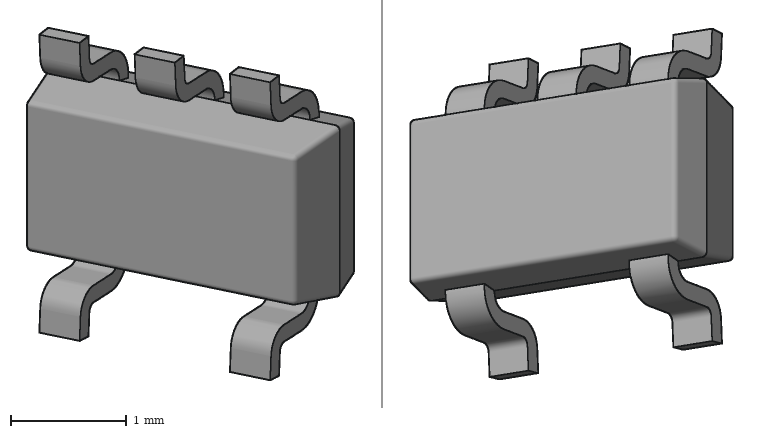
import cadquery as cq
import math


body_length = 2.9
body_height = 1.6
back_depth = 0.397
front_depth = 0.603
draft_angle = 10.0
edge_radius = 0.05

lead_width = 0.403
lead_thickness = 0.16
lead_pitch = 0.95
lead_span = 2.8
seat_y = -0.702
flat_top_z = 1.115
foot_inner_radius = 0.072
foot_tilt = 4.0

upper_columns = (-1, 0, 1)
lower_columns = (-1, 1)


def make_housing_half(depth, direction):
    """Drafted half from the parting plane to depth along Y, rounded except at the parting plane."""
    parting_plane = cq.Plane(origin=(0, 0, 0), xDir=(direction, 0, 0), normal=(0, direction, 0))
    half = (
        cq.Workplane(parting_plane)
        .rect(body_length, body_height)
        .extrude(depth, taper=draft_angle)
    )
    parting_face = "<Y" if direction > 0 else ">Y"
    parting_edges = half.faces(parting_face).edges().vals()
    rounded_edges = [
        edge for edge in half.edges().vals()
        if not any(edge.isSame(parting_edge) for parting_edge in parting_edges)
    ]
    return half.newObject(rounded_edges).fillet(edge_radius)


def make_housing():
    """Two drafted halves joined at the parting plane."""
    back_half = make_housing_half(back_depth, 1)
    front_half = make_housing_half(front_depth, -1)
    return back_half.union(front_half).solids()


def lead_outline():
    """Gull-wing section of an upper lead, its root lying on the drafted top of the housing."""
    tilt = math.radians(foot_tilt)
    toe_z = lead_span / 2
    parting_z = body_height / 2
    root_back_z = parting_z - lead_thickness * math.tan(math.radians(draft_angle))

    flat_bottom_z = flat_top_z - lead_thickness

    shoulder_radius = flat_top_z - parting_z
    flat_start_y = lead_thickness - shoulder_radius

    foot_outer_radius = foot_inner_radius + lead_thickness
    foot_center_z = flat_top_z + foot_inner_radius
    tilt_sine = math.sin(tilt)
    tilt_cosine = math.cos(tilt)
    foot_tangent_inner_z = foot_center_z - foot_inner_radius * tilt_sine
    foot_tangent_outer_z = foot_center_z - foot_outer_radius * tilt_sine

    toe_outer_z = toe_z - lead_thickness * tilt_sine
    toe_inner_y = seat_y + lead_thickness * tilt_cosine
    foot_tangent_inner_y = toe_inner_y + (toe_z - foot_tangent_inner_z) * math.tan(tilt)
    flat_end_y = foot_tangent_inner_y + foot_inner_radius * tilt_cosine
    foot_tangent_outer_y = flat_end_y - foot_outer_radius * tilt_cosine

    return (
        cq.Workplane("YZ")
        .moveTo(lead_thickness, root_back_z)
        .lineTo(lead_thickness, parting_z)
        .tangentArcPoint((flat_start_y, flat_top_z), relative=False)
        .lineTo(flat_end_y, flat_top_z)
        .tangentArcPoint((foot_tangent_inner_y, foot_tangent_inner_z), relative=False)
        .lineTo(toe_inner_y, toe_z)
        .lineTo(seat_y, toe_outer_z)
        .lineTo(foot_tangent_outer_y, foot_tangent_outer_z)
        .tangentArcPoint((flat_end_y, flat_bottom_z), relative=False)
        .lineTo(flat_start_y, flat_bottom_z)
        .tangentArcPoint((0, parting_z), relative=False)
        .close()
    )


def make_upper_lead(column):
    """Lead on the +Z side, in a column counted from the middle of the housing."""
    lead = lead_outline().extrude(lead_width / 2, both=True)
    return lead.translate((column * lead_pitch, 0, 0))


def make_lower_lead(column):
    """Lead on the -Z side, the mirror image of an upper lead."""
    return make_upper_lead(column).mirror("XY")


housing = make_housing()
upper_leads = [make_upper_lead(column) for column in upper_columns]
lower_leads = [make_lower_lead(column) for column in lower_columns]

result = cq.Compound.makeCompound(
    [housing.val()] + [lead.val() for lead in upper_leads + lower_leads]
)